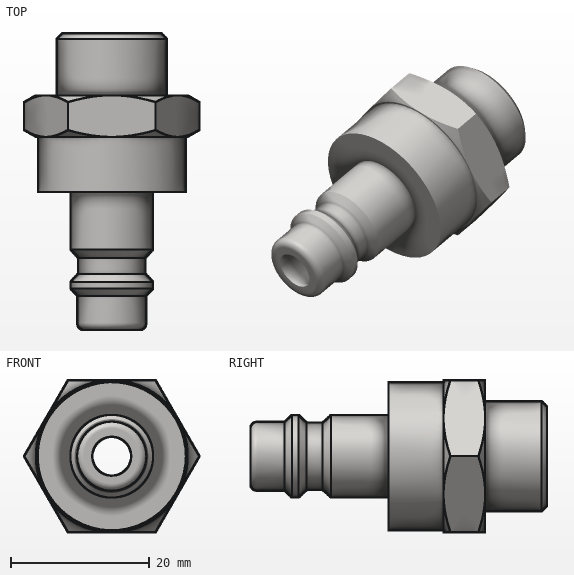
import cadquery as cq
import math

total_length = 43.0
bore_diameter = 5.6

tip_diameter = 10.0
tip_length = 5.0
tip_rounding = 1.0
plug_diameter = 12.0
collar_start = 6.0
collar_end = 7.0
groove_diameter = 9.8
groove_start = 8.15
groove_end = 10.5
shank_start = 11.7

body_start = 20.0
body_diameter = 21.45
hex_start = 28.0
hex_end = 34.0
hex_across_flats = 22.0
hex_chamfer_angle = 30.0
spigot_diameter = 16.0
spigot_chamfer = 0.8


def revolve_profile(points):
    """Revolve (radius, y) points about the Y axis."""
    return cq.Workplane("XY").polyline(points).close().revolve(360, (0, 0, 0), (0, 1, 0))


def make_turned_body():
    tip_radius = tip_diameter / 2
    plug_radius = plug_diameter / 2
    groove_radius = groove_diameter / 2
    body_radius = body_diameter / 2
    spigot_radius = spigot_diameter / 2
    body = revolve_profile([
        (0, 0),
        (tip_radius, 0),
        (tip_radius, tip_length),
        (plug_radius, collar_start),
        (plug_radius, collar_end),
        (groove_radius, groove_start),
        (groove_radius, groove_end),
        (plug_radius, shank_start),
        (plug_radius, body_start),
        (body_radius, body_start),
        (body_radius, hex_start),
        (spigot_radius, hex_start),
        (spigot_radius, total_length),
        (0, total_length),
    ])
    body = body.faces("<Y").edges().fillet(tip_rounding)
    return body.faces(">Y").edges().chamfer(spigot_chamfer)


def make_hexagon():
    """Hexagon with corners on the X axis and both ends turned to a cone."""
    flat_radius = hex_across_flats / 2
    corner_radius = flat_radius / math.cos(math.pi / 6)
    chamfer_depth = (corner_radius - flat_radius) * math.tan(math.radians(hex_chamfer_angle))
    prism = (
        cq.Workplane("XZ", origin=(0, hex_start, 0))
        .polygon(6, 2 * corner_radius)
        .extrude(hex_start - hex_end)
    )
    envelope = revolve_profile([
        (0, hex_start),
        (flat_radius, hex_start),
        (corner_radius, hex_start + chamfer_depth),
        (corner_radius, hex_end - chamfer_depth),
        (flat_radius, hex_end),
        (0, hex_end),
    ])
    return prism.intersect(envelope)


def make_bore():
    return cq.Workplane("XZ").circle(bore_diameter / 2).extrude(-total_length)


result = make_turned_body().union(make_hexagon()).cut(make_bore())